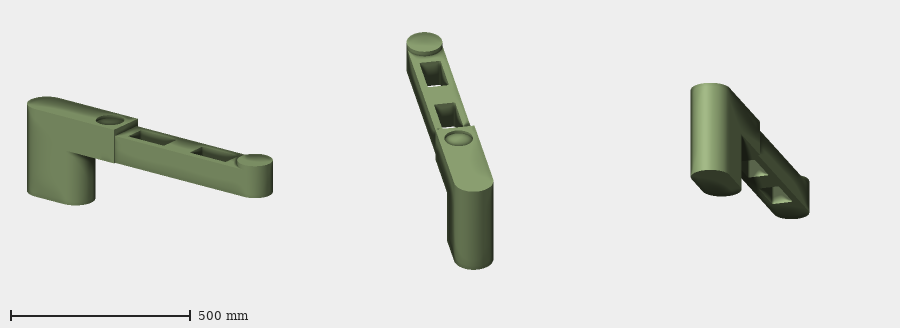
import cadquery as cq

total_length = 830.0
joint_z = 0.0

housing_width = 110.0
housing_height = 260.0
housing_length = 330.0
head_height = 100.0
column_length = 210.0
recess_diameter = 80.0
recess_depth = 10.0

housing_radius = housing_width / 2
head_top = joint_z + head_height
column_bottom = head_top - housing_height
recess_x = housing_length - housing_radius

arm_width = 100.0
arm_height = 80.0
cap_height = 15.0
window_length = 125.0
window_width = 60.0
window_corner_radius = 5.0
window_offset = 30.0
window_pitch = 215.0
window_count = 2

arm_radius = arm_width / 2
arm_end_x = total_length - arm_radius
arm_top = joint_z + arm_height


def make_column():
    """Upright with a round end at each side, centred on the X axis."""
    return (
        cq.Workplane("XY", origin=(column_length / 2, 0, column_bottom))
        .slot2D(column_length, housing_width)
        .extrude(housing_height)
    )


def make_head():
    """Horizontal block, round at the column side and square at the arm side."""
    return (
        cq.Workplane("XY", origin=(0, 0, joint_z))
        .moveTo(housing_radius, housing_radius)
        .threePointArc((0, 0), (housing_radius, -housing_radius))
        .lineTo(housing_length, -housing_radius)
        .lineTo(housing_length, housing_radius)
        .close()
        .extrude(head_height)
    )


def make_housing():
    """Column and head in one body, with a shallow round recess on top."""
    recess = (
        cq.Workplane("XY", origin=(recess_x, 0, head_top))
        .circle(recess_diameter / 2)
        .extrude(-recess_depth)
    )
    return make_column().union(make_head()).cut(recess)


def make_window(index):
    """Cutter for one rounded rectangular window through the arm."""
    center_x = housing_length + window_offset + window_length / 2 + index * window_pitch
    return (
        cq.Workplane("XY", origin=(center_x, 0, joint_z))
        .rect(window_length, window_width)
        .extrude(arm_height)
        .edges("|Z")
        .fillet(window_corner_radius)
    )


def make_arm():
    """Bar butted against the housing face, with its cap disc and windows."""
    arm = (
        cq.Workplane("XY", origin=(0, 0, joint_z))
        .moveTo(housing_length, -arm_radius)
        .lineTo(arm_end_x, -arm_radius)
        .threePointArc((total_length, 0), (arm_end_x, arm_radius))
        .lineTo(housing_length, arm_radius)
        .close()
        .extrude(arm_height)
    )
    cap = (
        cq.Workplane("XY", origin=(arm_end_x, 0, arm_top))
        .circle(arm_radius)
        .extrude(cap_height)
    )
    arm = arm.union(cap)
    for index in range(window_count):
        arm = arm.cut(make_window(index))
    return arm


housing = make_housing()
arm = make_arm()

result = cq.Compound.makeCompound([housing.solids().val(), arm.solids().val()])